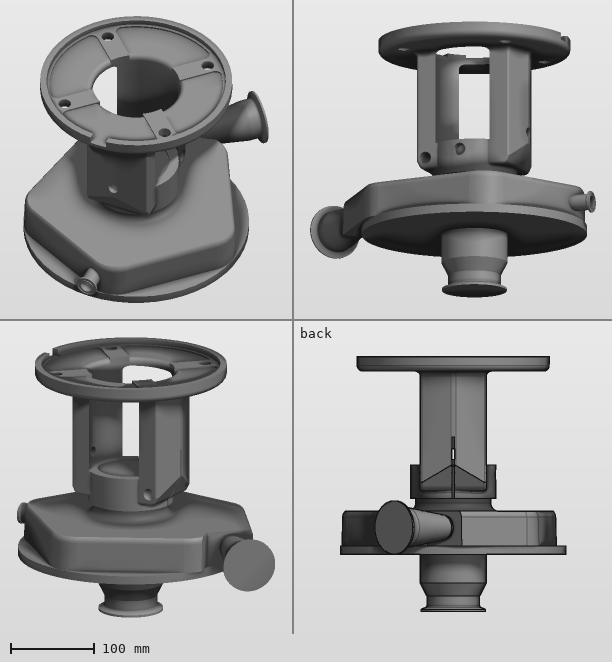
import cadquery as cq
import math

base_top = 10.0
housing_top = 51.5
neck_top = 67.0
collar_top = 107.0
column_bottom = 76.0
flange_top = 236.5

tolerance = 0.01

base_radius = 135.0
housing_apothem = 115.5
housing_corner_radius = 35.0
housing_draft = 1.5
housing_edge_height = 7.0
housing_edge_radius = 9.0
housing_first_vertex = -9.0
pentagon_step = 72.0
shoulder_corner = (-100.1, 99.2)
discharge_left = (-10.3, 164.1)
discharge_right = (31.0, 124.0)
crest_run = 70.0
crest_turn = 60.0
blank_stretch = 1.05
relief_stretch = 1.6
relief_end = (54.8, 130.2)

neck_radius = 45.0
neck_fillet = 10.0
collar_radius = 51.0
seal_radius = 39.7
seal_depth = 2.2
slit_width = 3.2
slit_top = 140.0
clamp_hole_diameter = 14.5
clamp_hole_y = 48.0
clamp_hole_z = 90.0
side_hole_diameter = 15.0
side_hole_z = 95.0
side_hole_depth = collar_radius - seal_radius

column_half_width = 39.6
column_reach = 69.6
column_facet_angle = 17.0
column_ridge_half_width = 3.0
column_edge_fillet = 3.0
column_toe_fillet = 8.0
column_collar_fillet = 3.0
column_root_fillet = 6.0
bevel_top = 106.3
bevel_angle = 27.2
column_hole_diameter = 12.6
column_hole_z = 119.7
bore_radius = 52.5

flange_radius = 115.0
flange_thickness = 17.5
flange_edge_fillet = 7.0
recess_radius = 107.3
recess_depth = 6.2
pocket_radius = 104.0
pocket_depth = 8.3
pocket_corner_radius = 8.0
pocket_lip_fillet = 6.0
rib_width = 24.0
rib_angle = 45.0
bolt_hole_count = 4
bolt_hole_diameter = 15.0
bolt_circle_radius = 92.0
notch_width = 20.0
notch_overrun = 1.0

ferrule_back_angle = 22.0
ferrule_fillet = 2.0

pipe_radius = 39.6
outlet_radius = 31.7
outlet_ferrule_radius = 38.75
reducer_start = 34.4
reducer_end = 50.0
outlet_end = 68.5
outlet_rim_thickness = 2.7

nozzle_angle = 45.0
nozzle_offset = 95.2
nozzle_z = 32.0
nozzle_root = 100.0
nozzle_cone_start = 112.0
nozzle_cone_end = 177.0
nozzle_end = 195.7
nozzle_throat_radius = 14.0
nozzle_small_radius = 15.0
nozzle_large_radius = 24.5
nozzle_ferrule_radius = 32.0
nozzle_rim_thickness = 2.3

drain_z = 29.3
drain_root = 120.0
drain_end = 150.5
drain_radius = 9.7
drain_ferrule_radius = 12.75
drain_rim_thickness = 2.7
drain_bore_radius = 7.5
drain_groove_inner = 8.5
drain_groove_outer = 11.0
drain_groove_depth = 1.0


def disc(radius, bottom, top):
    return cq.Workplane("XY").workplane(offset=bottom).circle(radius).extrude(top - bottom)


def revolved(profile):
    """Revolve (radius, height) points about Z, closing the profile along the axis."""
    points = [(0, profile[0][1])] + profile + [(0, profile[-1][1])]
    return cq.Workplane("XZ").polyline(points).close().revolve(360, (0, 0, 0), (0, 1, 0))


def ferrule(tube_radius, rim_radius, rim_thickness, end):
    """Clamp rim on a tube along Z, its face at height `end` and its sloped back below."""
    slope = math.radians(ferrule_back_angle)
    tangent_radius = tube_radius + ferrule_fillet * (1 - math.sin(slope))
    rim_back = end - rim_thickness
    tangent_height = rim_back - (rim_radius - tangent_radius) * math.tan(slope)
    center_height = tangent_height - ferrule_fillet * math.cos(slope)
    middle_angle = (math.pi / 2 - slope) / 2
    middle = (
        tube_radius + ferrule_fillet * (1 - math.cos(middle_angle)),
        center_height + ferrule_fillet * math.sin(middle_angle),
    )
    return (
        cq.Workplane("XZ")
        .moveTo(0, center_height)
        .lineTo(tube_radius, center_height)
        .threePointArc(middle, (tangent_radius, tangent_height))
        .lineTo(rim_radius, rim_back)
        .lineTo(rim_radius, end)
        .lineTo(0, end)
        .close()
        .revolve(360, (0, 0, 0), (0, 1, 0))
    )


def rounded_corner(before, corner, after, radius):
    """Start, middle and end of the tangent arc that rounds one corner of an outline."""
    point = cq.Vector(*corner)
    to_before = (cq.Vector(*before) - point).normalized()
    to_after = (cq.Vector(*after) - point).normalized()
    half_angle = to_before.getAngle(to_after) / 2
    setback = radius / math.tan(half_angle)
    middle_gap = radius / math.sin(half_angle) - radius
    bisector = (to_before + to_after).normalized()
    arc = (point + to_before * setback, point + bisector * middle_gap, point + to_after * setback)
    return [p.toTuple()[:2] for p in arc]


def make_housing():
    circumradius = housing_apothem / math.cos(math.radians(pentagon_step / 2))

    def pentagon_vertex(index):
        angle = math.radians(housing_first_vertex - pentagon_step * index)
        return (circumradius * math.cos(angle), circumradius * math.sin(angle))

    side_normal = housing_first_vertex + pentagon_step / 2
    crest_inset = housing_apothem - housing_corner_radius
    side_angle = math.radians(side_normal)
    crest_center = (
        crest_inset * math.cos(side_angle) - crest_run * math.sin(side_angle),
        crest_inset * math.sin(side_angle) + crest_run * math.cos(side_angle),
    )

    def crest_point(turn):
        angle = math.radians(side_normal + turn)
        return (
            crest_center[0] + housing_corner_radius * math.cos(angle),
            crest_center[1] + housing_corner_radius * math.sin(angle),
        )

    left, right, end_of_relief = [
        cq.Vector(*point) for point in (discharge_left, discharge_right, relief_end)
    ]
    shoulder = cq.Vector(*shoulder_corner)
    blank_left = shoulder + (left - shoulder) * blank_stretch
    blank_left_point = blank_left.toTuple()[:2]
    corners = [crest_point(0)]
    corners += [pentagon_vertex(index) for index in range(3)]
    corners += [shoulder_corner, blank_left_point]
    outline = (
        cq.Workplane("XY")
        .workplane(offset=base_top)
        .moveTo(*blank_left_point)
        .lineTo(*crest_point(crest_turn))
        .threePointArc(crest_point(crest_turn / 2), crest_point(0))
    )
    for before, corner, after in zip(corners, corners[1:], corners[2:]):
        start, middle, end = rounded_corner(before, corner, after, housing_corner_radius)
        outline = outline.lineTo(*start).threePointArc(middle, end)
    untrimmed_top = housing_top - housing_edge_height + housing_edge_radius
    housing = outline.close().extrude(untrimmed_top - base_top, taper=housing_draft)

    span_middle = (blank_left + cq.Vector(*crest_point(crest_turn))) * 0.5
    top_edges = housing.faces(">Z").edges().vals()
    rounded = sorted(
        top_edges,
        key=lambda edge: math.hypot(edge.Center().x - span_middle.x, edge.Center().y - span_middle.y),
    )[1:]
    housing = housing.newObject(rounded).fillet(housing_edge_radius)

    along_face = (left - right) * relief_stretch
    along_wall = (end_of_relief - right) * relief_stretch
    relief_corners = [right, right + along_face, right + along_face + along_wall, right + along_wall]
    relief = (
        cq.Workplane("XY")
        .workplane(offset=base_top)
        .polyline([corner.toTuple()[:2] for corner in relief_corners])
        .close()
        .extrude(untrimmed_top - base_top)
    )
    return housing.cut(relief).intersect(disc(2 * base_radius, base_top, housing_top))


def make_neck_and_collar():
    fillet_middle = neck_fillet * (1 - math.sqrt(0.5))
    neck = (
        cq.Workplane("XZ")
        .moveTo(0, housing_top)
        .lineTo(neck_radius + neck_fillet, housing_top)
        .threePointArc(
            (neck_radius + fillet_middle, housing_top + fillet_middle),
            (neck_radius, housing_top + neck_fillet),
        )
        .lineTo(neck_radius, neck_top)
        .lineTo(0, neck_top)
        .close()
        .revolve(360, (0, 0, 0), (0, 1, 0))
    )
    return neck.union(disc(collar_radius, neck_top, collar_top))


def lies_on_collar(edge):
    """True for the edges that the columns cut across the side of the collar."""
    points = [edge.positionAt(fraction) for fraction in (0.25, 0.5, 0.75)]
    on_side = all(abs(math.hypot(p.x, p.y) - collar_radius) < tolerance for p in points)
    return on_side and neck_top + tolerance < points[1].z < collar_top - tolerance


def make_columns_and_flange():
    flange_bottom = flange_top - flange_thickness
    facet_run = column_half_width - column_ridge_half_width
    shoulder = column_reach - facet_run * math.tan(math.radians(column_facet_angle))
    quarter = [(column_half_width, shoulder), (column_ridge_half_width, column_reach)]
    upper = quarter + [(-x, y) for x, y in reversed(quarter)]
    lower = [(-x, -y) for x, y in upper]
    prism = (
        cq.Workplane("XY")
        .workplane(offset=column_bottom)
        .polyline(upper + lower)
        .close()
        .extrude(flange_bottom - column_bottom)
    )

    bevel_drop = bevel_top - column_bottom
    bevel_run = bevel_drop * math.tan(math.radians(bevel_angle))
    bevel = (
        cq.Workplane("YZ")
        .polyline([
            (column_reach, bevel_top),
            (column_reach + bevel_run, bevel_top),
            (column_reach + bevel_run, column_bottom),
            (column_reach - bevel_run, column_bottom),
        ])
        .close()
        .extrude(column_half_width, both=True)
    )
    prism = prism.cut(bevel).cut(bevel.mirror("XZ"))
    prism = prism.faces("<Z").edges("|X").fillet(column_toe_fillet)

    side_edges = prism.faces("<X or >X").edges().vals()
    below_top = [edge for edge in side_edges if edge.Center().z < flange_bottom - tolerance]
    prism = prism.newObject(below_top).fillet(column_edge_fillet)

    flange = disc(flange_radius, flange_bottom, flange_top)
    flange = flange.faces("<Z").edges().fillet(flange_edge_fillet)
    body = flange.union(prism)

    root_edges = [
        edge for edge in body.edges().vals()
        if abs(edge.Center().z - flange_bottom) < tolerance
        and edge.BoundingBox().ymax < column_reach + tolerance
    ]
    body = body.newObject(root_edges).fillet(column_root_fillet)

    body = body.union(make_neck_and_collar())
    collar_edges = [edge for edge in body.edges().vals() if lies_on_collar(edge)]
    body = body.newObject(collar_edges).fillet(column_collar_fillet)
    return body.cut(disc(bore_radius, collar_top, flange_top))


def cross_ribs(bottom, top):
    """Two crossed bars at 45 degrees, the raised ribs between the flange pockets."""
    bar = (
        cq.Workplane("XY")
        .workplane(offset=bottom)
        .rect(2 * flange_radius, rib_width)
        .extrude(top - bottom)
    )
    axis_start, axis_end = (0, 0, 0), (0, 0, 1)
    return bar.rotate(axis_start, axis_end, rib_angle).union(
        bar.rotate(axis_start, axis_end, rib_angle + 90)
    )


def cut_flange_face(body):
    recess_floor = flange_top - recess_depth
    pocket_floor = flange_top - pocket_depth
    body = body.cut(disc(recess_radius, recess_floor, flange_top))

    hub = disc(bore_radius, pocket_floor, recess_floor)
    pockets = disc(pocket_radius, pocket_floor, recess_floor).cut(hub)
    pockets = pockets.cut(cross_ribs(pocket_floor, recess_floor))
    rim_edges = [
        edge for edge in pockets.edges("|Z").vals()
        if math.hypot(edge.Center().x, edge.Center().y) > (bore_radius + pocket_radius) / 2
    ]
    body = body.cut(pockets.newObject(rim_edges).fillet(pocket_corner_radius))

    lip_outer = bore_radius + pocket_lip_fillet
    lip_bottom = pocket_floor - pocket_lip_fillet
    lip_inset = pocket_lip_fillet * (1 - math.sqrt(0.5))
    lip = (
        cq.Workplane("XZ")
        .moveTo(bore_radius, lip_bottom)
        .threePointArc(
            (bore_radius + lip_inset, pocket_floor - lip_inset),
            (lip_outer, pocket_floor),
        )
        .lineTo(bore_radius, pocket_floor)
        .close()
        .revolve(360, (0, 0, 0), (0, 1, 0))
    )
    body = body.cut(lip.cut(cross_ribs(lip_bottom, pocket_floor)))

    bolt_holes = (
        cq.Workplane("XY")
        .workplane(offset=flange_top - flange_thickness)
        .polarArray(bolt_circle_radius, rib_angle, 360, bolt_hole_count)
        .circle(bolt_hole_diameter / 2)
        .extrude(flange_thickness)
    )
    notch_length = flange_radius - pocket_radius + 2 * notch_overrun
    notch = cq.Workplane("XY").box(
        notch_width, notch_length, pocket_depth, centered=(True, False, False)
    ).translate((0, -flange_radius - notch_overrun, pocket_floor))
    return body.cut(bolt_holes).cut(notch)


def make_bottom_pipe():
    pipe = revolved([
        (pipe_radius, 0),
        (pipe_radius, reducer_start),
        (outlet_radius, reducer_end),
        (outlet_radius, outlet_end),
    ])
    pipe = pipe.union(ferrule(outlet_radius, outlet_ferrule_radius, outlet_rim_thickness, outlet_end))
    return pipe.rotate((0, 0, 0), (1, 0, 0), 180)


def make_nozzle():
    nozzle = revolved([
        (nozzle_throat_radius, nozzle_root),
        (nozzle_throat_radius, nozzle_cone_start),
        (nozzle_small_radius, nozzle_cone_start),
        (nozzle_large_radius, nozzle_cone_end),
        (nozzle_large_radius, nozzle_end),
    ])
    nozzle = nozzle.union(
        ferrule(nozzle_large_radius, nozzle_ferrule_radius, nozzle_rim_thickness, nozzle_end)
    )
    along_x = nozzle.rotate((0, 0, 0), (0, 1, 0), 90).translate((0, nozzle_offset, nozzle_z))
    return along_x.rotate((0, 0, 0), (0, 0, 1), nozzle_angle)


def make_drain():
    drain = disc(drain_radius, drain_root, drain_end)
    drain = drain.union(ferrule(drain_radius, drain_ferrule_radius, drain_rim_thickness, drain_end))
    drain = drain.cut(disc(drain_bore_radius, drain_root, drain_end))
    groove_floor = drain_end - drain_groove_depth
    groove = disc(drain_groove_outer, groove_floor, drain_end)
    groove = groove.cut(disc(drain_groove_inner, groove_floor, drain_end))
    drain = drain.cut(groove)
    return drain.rotate((0, 0, 0), (1, 0, 0), 90).translate((0, 0, drain_z))


def cut_collar_details(body):
    body = body.cut(disc(seal_radius, collar_top - seal_depth, collar_top))

    slit = cq.Workplane("XY").box(
        slit_width, column_reach - seal_radius, slit_top - neck_top, centered=(True, False, False)
    ).translate((0, seal_radius, neck_top))
    clamp_hole = (
        cq.Workplane("YZ")
        .center(clamp_hole_y, clamp_hole_z)
        .circle(clamp_hole_diameter / 2)
        .extrude(collar_radius, both=True)
    )
    side_hole = (
        cq.Workplane("YZ")
        .workplane(offset=-collar_radius)
        .center(0, side_hole_z)
        .circle(side_hole_diameter / 2)
        .extrude(side_hole_depth)
    )
    column_hole = (
        cq.Workplane("XZ")
        .center(0, column_hole_z)
        .circle(column_hole_diameter / 2)
        .extrude(column_reach)
    )
    return body.cut(slit).cut(clamp_hole).cut(side_hole).cut(column_hole)


upper_body = cut_flange_face(make_columns_and_flange())
upper_body = cut_collar_details(upper_body)

result = (
    disc(base_radius, 0, base_top)
    .union(make_housing())
    .union(upper_body)
    .union(make_bottom_pipe())
    .union(make_nozzle())
    .union(make_drain())
)